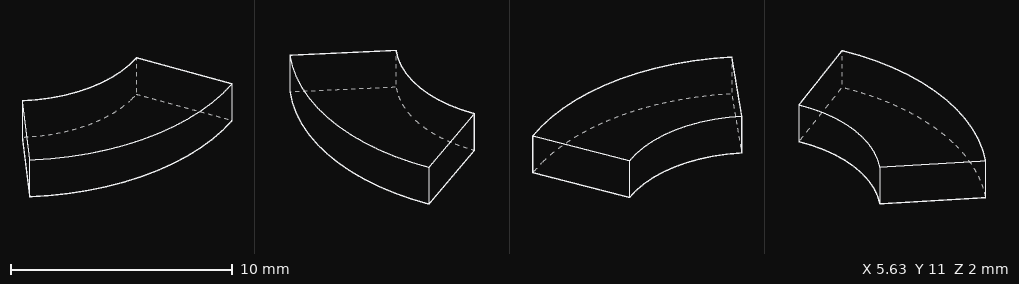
import cadquery as cq
import math

outer_radius = 11.0
inner_radius = 6.2
sweep_angle = 60.0
thickness = 2.0

half_angle = sweep_angle / 2


def ring_point(radius, angle):
    """Point at the given radius and angle (degrees) about the ring centre."""
    return (
        radius * math.cos(math.radians(angle)),
        radius * math.sin(math.radians(angle)),
    )


def ring_segment():
    """Segment bounded by two concentric arcs and two radial end faces."""
    return (
        cq.Workplane("XY")
        .moveTo(*ring_point(inner_radius, -half_angle))
        .lineTo(*ring_point(outer_radius, -half_angle))
        .threePointArc((outer_radius, 0), ring_point(outer_radius, half_angle))
        .lineTo(*ring_point(inner_radius, half_angle))
        .threePointArc((inner_radius, 0), ring_point(inner_radius, -half_angle))
        .close()
        .extrude(thickness)
    )


result = ring_segment()